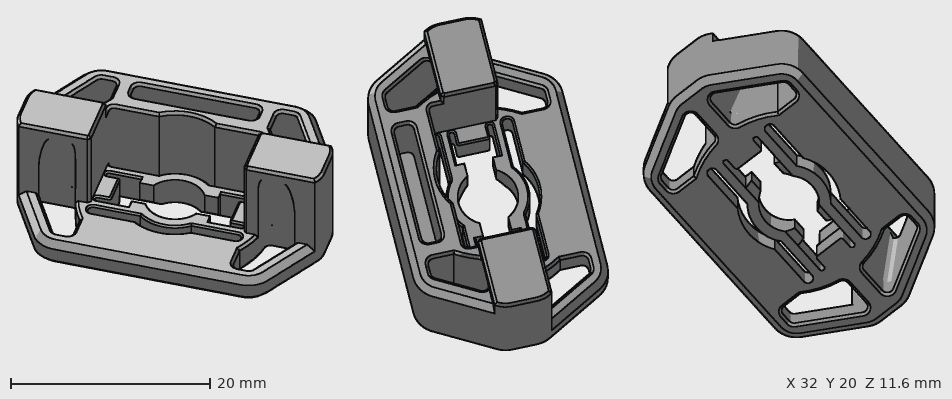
import cadquery as cq
import math

LENGTH = 32.0
WIDTH = 20.0
HALF_LENGTH = LENGTH / 2
HALF_WIDTH = WIDTH / 2
FLANK_DISTANCE = 14.88
FLANK_ANGLE = math.radians(60)
OUTLINE_RADIUS = 2.8
BASE_HEIGHT = 2.98
REAR_HEIGHT = 10.0
TOWER_HEIGHT = 11.6
BOTTOM_CHAMFER = 0.77
TOP_CHAMFER = 0.7
REACH = LENGTH

TOWER_INNER_X = 8.0
TOWER_HALF_WIDTH = 2.95
TOWER_CHAMFER = 0.3

FRAME_WIDTH = 1.82
OPENING_INNER_X = 8.35
OPENING_END_Y = 8.25
OPENING_ARC_RADIUS = 10.0
OPENING_BACK_Y = 1.05
RECESS_TOP = 10.37
BACK_SLOPE = (TOWER_HALF_WIDTH - OPENING_BACK_Y) / (RECESS_TOP - BASE_HEIGHT)
OPENING_FILLET = 0.65
RIM = 0.3

POCKET_HALF_LENGTH = 6.6
POCKET_FRONT_Y = 6.2
POCKET_FLOOR = BASE_HEIGHT

CAVITY_WALL_Y = 4.3
CAVITY_ARC_RADIUS = 5.2
CAVITY_FILLET = 0.5
ARM_OUTER_Y = 3.23
ARM_ARC_RADIUS = 4.2
FINE_RIM = 0.2

ARM_INNER_Y = 2.25
BORE_RADIUS = 3.05
PAD_HALF_LENGTH = 4.1
PAD_HALF_GAP = 1.47
NOTCH_END_X = 7.78
TONGUE_TIP_X = 6.2
TONGUE_HALF_WIDTH = 1.7
TONGUE_FILLET = 0.25


def box(x_range, y_range, z_range):
    """Box between the given limits."""
    sizes = [high - low for low, high in (x_range, y_range, z_range)]
    corner = (x_range[0], y_range[0], z_range[0])
    return cq.Workplane("XY").box(*sizes, centered=False).translate(corner)


def flank_x(distance, y):
    """X of a slanted line lying at the given distance from the centre."""
    return (distance - y * math.cos(FLANK_ANGLE)) / math.sin(FLANK_ANGLE)


def flank_y(distance, x):
    """Y of a slanted line lying at the given distance from the centre."""
    return (distance - x * math.sin(FLANK_ANGLE)) / math.cos(FLANK_ANGLE)


def circle_height(radius, offset):
    """Other coordinate of a point on a centred circle."""
    return math.sqrt(radius**2 - offset**2)


def outline_prism(height):
    """Octagonal body outline with rounded corners and a chamfered underside."""
    corner_x = flank_x(FLANK_DISTANCE, HALF_WIDTH)
    corner_y = flank_y(FLANK_DISTANCE, HALF_LENGTH)
    quarter = [(HALF_LENGTH, corner_y), (corner_x, HALF_WIDTH)]
    upper = quarter + [(-x, y) for x, y in reversed(quarter)]
    lower = [(x, -y) for x, y in reversed(upper)]
    prism = cq.Workplane("XY").polyline(upper + lower).close().extrude(height)
    return prism.edges("|Z").fillet(OUTLINE_RADIUS).faces("<Z").chamfer(BOTTOM_CHAMFER)


def flared_rim(prism, top, rim):
    """Plug widening upward at 45 degrees that chamfers a hole's mouth at the given height."""
    mouth = prism.faces("<Z").wires().val()
    mouth = mouth.translate(cq.Vector(0, 0, top - rim - mouth.BoundingBox().zmin))
    return cq.Workplane("XY").add(mouth).toPending().extrude(rim, taper=-45)


def cavity_prism():
    """Wide central cavity above the base, with a bulge in its rear wall."""
    height = TOWER_HEIGHT - BASE_HEIGHT
    cavity = box(
        (-TOWER_INNER_X, TOWER_INNER_X), (-HALF_WIDTH, CAVITY_WALL_Y), (BASE_HEIGHT, TOWER_HEIGHT)
    )
    cavity = cavity.edges("|Z and >Y").fillet(CAVITY_FILLET)
    bulge = cq.Workplane("XY", origin=(0, 0, BASE_HEIGHT)).circle(CAVITY_ARC_RADIUS).extrude(height)
    return cavity.union(bulge)


def arm_slot():
    """Slot behind the rear spring arm, following the bulge of the ring."""
    end = TOWER_INNER_X
    inner_x = circle_height(ARM_ARC_RADIUS, ARM_OUTER_Y)
    outer_x = circle_height(CAVITY_ARC_RADIUS, CAVITY_WALL_Y)
    slot = (
        cq.Workplane("XY")
        .moveTo(-end, ARM_OUTER_Y)
        .lineTo(-inner_x, ARM_OUTER_Y)
        .threePointArc((0, ARM_ARC_RADIUS), (inner_x, ARM_OUTER_Y))
        .lineTo(end, ARM_OUTER_Y)
        .lineTo(end, CAVITY_WALL_Y)
        .lineTo(outer_x, CAVITY_WALL_Y)
        .threePointArc((0, CAVITY_ARC_RADIUS), (-outer_x, CAVITY_WALL_Y))
        .lineTo(-end, CAVITY_WALL_Y)
        .close()
        .extrude(BASE_HEIGHT)
    )
    return slot.edges("|Z and (<X or >X)").fillet(CAVITY_FILLET)


def side_notch():
    """U-shaped opening around the tongue on the +X side."""
    notch = box((PAD_HALF_LENGTH, NOTCH_END_X), (-ARM_INNER_Y, ARM_INNER_Y), (0, BASE_HEIGHT))
    tongue = box(
        (TONGUE_TIP_X, NOTCH_END_X), (-TONGUE_HALF_WIDTH, TONGUE_HALF_WIDTH), (0, BASE_HEIGHT)
    )
    tongue = tongue.edges("|Z and <X").fillet(TONGUE_FILLET)
    return notch.cut(tongue).edges("|Z and >X").fillet(TONGUE_FILLET)


def opening_prism(back_y, height):
    """Sharp-cornered side opening in the +X, +Y quarter."""
    wall_distance = FLANK_DISTANCE - FRAME_WIDTH
    arc_start = (circle_height(OPENING_ARC_RADIUS, back_y), back_y)
    arc_end = (OPENING_INNER_X, circle_height(OPENING_ARC_RADIUS, OPENING_INNER_X))
    middle_angle = (math.atan2(*reversed(arc_start)) + math.atan2(*reversed(arc_end))) / 2
    arc_middle = (
        OPENING_ARC_RADIUS * math.cos(middle_angle),
        OPENING_ARC_RADIUS * math.sin(middle_angle),
    )
    return (
        cq.Workplane("XY")
        .moveTo(*arc_start)
        .threePointArc(arc_middle, arc_end)
        .lineTo(OPENING_INNER_X, OPENING_END_Y)
        .lineTo(flank_x(wall_distance, OPENING_END_Y), OPENING_END_Y)
        .lineTo(flank_x(wall_distance, back_y), back_y)
        .close()
        .extrude(height)
    )


def rounded_opening(back_y):
    """Side opening of base height with all but the arc's blunt corner rounded."""
    prism = opening_prism(back_y, BASE_HEIGHT)
    return prism.edges("|Z and (<Y or >Y)").fillet(OPENING_FILLET)


def back_wall_y(height):
    """Y of the opening's back wall, which leans outward above the base."""
    return OPENING_BACK_Y + BACK_SLOPE * (height - BASE_HEIGHT)


def recess_cutter():
    """Side opening of full height, hollowing the tower under its leaning back wall."""
    top = TOWER_HEIGHT
    lean_end_y = back_wall_y(top)
    wedge = (
        cq.Workplane("YZ")
        .polyline([(0, BASE_HEIGHT), (OPENING_BACK_Y, BASE_HEIGHT), (lean_end_y, top), (0, top)])
        .close()
        .extrude(REACH)
    )
    cutter = opening_prism(OPENING_BACK_Y, top).cut(wedge)
    cutter = cutter.edges("|Z and >Y").fillet(OPENING_FILLET)
    back_corners = cq.selectors.BoxSelector((0, 0, 0), (REACH, TOWER_HALF_WIDTH, top))
    return cutter.edges(back_corners).edges("not |X").fillet(OPENING_FILLET)


base = outline_prism(BASE_HEIGHT).faces(">Z").chamfer(TOP_CHAMFER)

rear = outline_prism(REAR_HEIGHT).faces(">Z").chamfer(TOP_CHAMFER)
rear = rear.intersect(box((-REACH, REACH), (0, REACH), (0, REACH)))
cavity = cavity_prism()
rear = rear.cut(cavity).cut(flared_rim(cavity, REAR_HEIGHT, RIM))

tower = outline_prism(TOWER_HEIGHT).intersect(
    box((TOWER_INNER_X, REACH), (-TOWER_HALF_WIDTH, TOWER_HALF_WIDTH), (0, REACH))
)
tower = tower.edges("|Z and <X").chamfer(TOWER_CHAMFER).faces(">Z").chamfer(TOWER_CHAMFER)

body = base.union(rear).union(tower).union(tower.mirror("YZ"))

pocket = box(
    (-POCKET_HALF_LENGTH, POCKET_HALF_LENGTH),
    (POCKET_FRONT_Y, OPENING_END_Y),
    (POCKET_FLOOR, REAR_HEIGHT),
)
pocket = pocket.edges("|Z").fillet(OPENING_FILLET)
body = body.cut(pocket).cut(flared_rim(pocket, REAR_HEIGHT, RIM))

beyond_tower = box((0, REACH), (TOWER_HALF_WIDTH, REACH), (0, REACH))
recess = recess_cutter()
rear_mouth = rounded_opening(back_wall_y(REAR_HEIGHT))
rear_rim = flared_rim(rear_mouth, REAR_HEIGHT, RIM).intersect(beyond_tower)
front_mouth = rounded_opening(OPENING_BACK_Y)
front_rim = flared_rim(front_mouth, BASE_HEIGHT, RIM).intersect(beyond_tower)
bottom_rim = flared_rim(front_mouth, 0, RIM).mirror("XY")
rear_cutters = (recess, bottom_rim, rear_rim)
front_cutters = [cutter.mirror("XZ") for cutter in (recess, bottom_rim, front_rim)]
for cutter in (*rear_cutters, *front_cutters):
    body = body.cut(cutter).cut(cutter.mirror("YZ"))

slot = arm_slot()
slot_rim = flared_rim(slot, BASE_HEIGHT, FINE_RIM)
rear_slot_rim = slot_rim.intersect(cavity.translate((0, 0, -FINE_RIM)))
for cutter in (slot, rear_slot_rim, slot.mirror("XZ"), slot_rim.mirror("XZ")):
    body = body.cut(cutter)

notch = side_notch()
beyond_pads = box((PAD_HALF_LENGTH, REACH), (-HALF_WIDTH, HALF_WIDTH), (0, REACH))
notch_rim = flared_rim(notch, BASE_HEIGHT, FINE_RIM).intersect(beyond_pads)
for cutter in (notch, notch_rim):
    body = body.cut(cutter).cut(cutter.mirror("YZ"))
pad_gap = box(
    (-PAD_HALF_LENGTH, PAD_HALF_LENGTH), (-PAD_HALF_GAP, PAD_HALF_GAP), (0, BASE_HEIGHT)
)
bore = cq.Workplane("XY").circle(BORE_RADIUS).extrude(BASE_HEIGHT)

bevel_height = ARM_INNER_Y - PAD_HALF_GAP
pad_bevel = (
    cq.Workplane("YZ")
    .polyline([
        (-ARM_INNER_Y, 0),
        (ARM_INNER_Y, 0),
        (PAD_HALF_GAP, bevel_height),
        (-PAD_HALF_GAP, bevel_height),
    ])
    .close()
    .extrude(PAD_HALF_LENGTH, both=True)
)

result = body.cut(pad_gap).cut(bore).cut(pad_bevel)